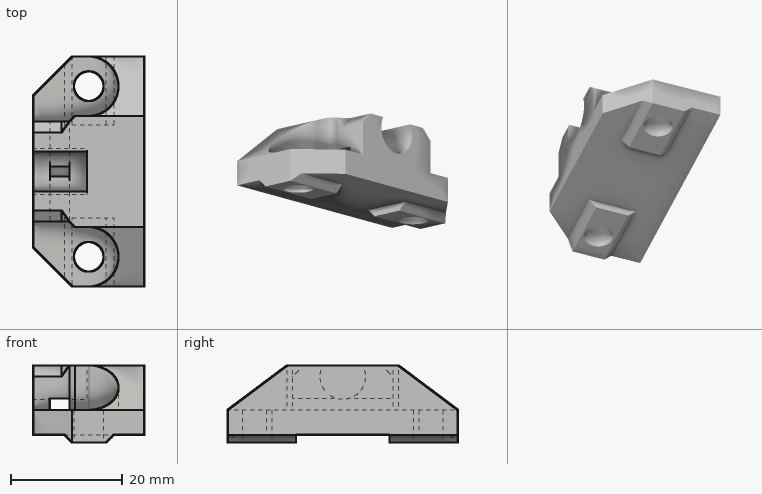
import cadquery as cq

LENGTH = 20.0
PLATE_THICKNESS = 4.5
CORNER_CUT = 7.0

HOLE_DIAMETER = 5.3
HOLE_X = LENGTH / 2
HOLE_Y = 15.35
POCKET_RADIUS = 5.35
HALF_WIDTH = HOLE_Y + POCKET_RADIUS

BLOCK_HEIGHT = 8.0
BLOCK_TOP = PLATE_THICKNESS + BLOCK_HEIGHT
BLOCK_HALF_WIDTH = HOLE_Y - POCKET_RADIUS
WALL_STEP = 1.0
FRONT_HALF_WIDTH = BLOCK_HALF_WIDTH - WALL_STEP

TIE_START = 3.0
TIE_END = 6.5
TIE_HEIGHT = 2.0

CHAMFER = 2.0
CHAMFER_LENGTH = 5.1

GROOVE_RADIUS = 4.1
GROOVE_AXIS_DEPTH = 2.0
GROOVE_LENGTH = 9.7

KEY_HEIGHT = 1.4
KEY_BOTTOM_WIDTH = 6.1
KEY_BOTTOM_START = CORNER_CUT
KEY_INNER_Y = 8.4


def corner_outline(plane_z):
    """Plan outline of the part with its two front corners cut off."""
    return cq.Workplane("XY", origin=(0, 0, plane_z)).polyline([
        (LENGTH, -HALF_WIDTH),
        (LENGTH, HALF_WIDTH),
        (CORNER_CUT, HALF_WIDTH),
        (0, HALF_WIDTH - CORNER_CUT),
        (0, CORNER_CUT - HALF_WIDTH),
        (CORNER_CUT, -HALF_WIDTH),
    ]).close()


def make_body():
    """Plate and block with side faces sloping down to the plate ends."""
    body = cq.Workplane("YZ").polyline([
        (-HALF_WIDTH, 0),
        (HALF_WIDTH, 0),
        (HALF_WIDTH, PLATE_THICKNESS),
        (BLOCK_HALF_WIDTH, BLOCK_TOP),
        (-BLOCK_HALF_WIDTH, BLOCK_TOP),
        (-HALF_WIDTH, PLATE_THICKNESS),
    ]).close().extrude(LENGTH)
    return body.intersect(corner_outline(0).extrude(BLOCK_TOP))


def make_screw_pocket():
    """Space above the plate at the +Y end, rounded around the screw hole."""
    return (
        cq.Workplane("XY", origin=(0, 0, PLATE_THICKNESS))
        .moveTo(0, FRONT_HALF_WIDTH)
        .lineTo(TIE_END, FRONT_HALF_WIDTH)
        .lineTo(TIE_END + WALL_STEP, BLOCK_HALF_WIDTH)
        .lineTo(HOLE_X, BLOCK_HALF_WIDTH)
        .threePointArc((HOLE_X + POCKET_RADIUS, HOLE_Y), (HOLE_X, HALF_WIDTH))
        .lineTo(0, HALF_WIDTH)
        .close()
        .extrude(BLOCK_HEIGHT)
    )


def make_polyhedron(faces):
    """Solid bounded by flat faces, each given as a list of corner points."""
    sides = []
    for corners in faces:
        sides.append(cq.Face.makeFromWires(cq.Wire.makePolygon(corners, close=True)))
    return cq.Solid.makeSolid(cq.Shell.makeShell(sides))


def make_edge_chamfer():
    """Material removed from the +Y front edge, ending in a slanted triangle."""
    inner_y = FRONT_HALF_WIDTH - CHAMFER
    low_z = BLOCK_TOP - CHAMFER
    front_inner = cq.Vector(0, inner_y, BLOCK_TOP)
    front_outer = cq.Vector(0, FRONT_HALF_WIDTH, BLOCK_TOP)
    front_low = cq.Vector(0, FRONT_HALF_WIDTH, low_z)
    back_inner = cq.Vector(CHAMFER_LENGTH, inner_y, BLOCK_TOP)
    back_low = cq.Vector(CHAMFER_LENGTH, FRONT_HALF_WIDTH, low_z)
    tip = cq.Vector(TIE_END, FRONT_HALF_WIDTH, BLOCK_TOP)
    return make_polyhedron([
        [front_inner, front_outer, front_low],
        [front_inner, front_low, back_low, back_inner],
        [front_inner, back_inner, tip, front_outer],
        [front_outer, tip, back_low, front_low],
        [back_inner, back_low, tip],
    ])


def make_screw_hole():
    """Through hole at the +Y end."""
    return (
        cq.Workplane("XY", origin=(HOLE_X, HOLE_Y, -KEY_HEIGHT))
        .circle(HOLE_DIAMETER / 2)
        .extrude(KEY_HEIGHT + BLOCK_TOP)
    )


def make_key():
    """Tapered key under the +Y end, trimmed by the cut plate corner."""
    bottom_end = KEY_BOTTOM_START + KEY_BOTTOM_WIDTH
    key = cq.Workplane("XZ", origin=(0, HALF_WIDTH, 0)).polyline([
        (KEY_BOTTOM_START - KEY_HEIGHT, 0),
        (KEY_BOTTOM_START, -KEY_HEIGHT),
        (bottom_end, -KEY_HEIGHT),
        (bottom_end + KEY_HEIGHT, 0),
    ]).close().extrude(HALF_WIDTH - KEY_INNER_Y)
    return key.intersect(corner_outline(-KEY_HEIGHT).extrude(KEY_HEIGHT))


def make_groove():
    """Round groove along X, open at the front and at the top."""
    return (
        cq.Workplane("YZ")
        .center(0, BLOCK_TOP - GROOVE_AXIS_DEPTH)
        .circle(GROOVE_RADIUS)
        .extrude(GROOVE_LENGTH)
    )


def make_tie_slot():
    """Rectangular slot across the block, level with the plate top."""
    return cq.Workplane("XY").box(
        TIE_END - TIE_START, 2 * BLOCK_HALF_WIDTH, TIE_HEIGHT, centered=(False, True, False)
    ).translate((TIE_START, 0, PLATE_THICKNESS))


def both_ends(feature):
    """The feature together with its mirror image at the -Y end."""
    shape = cq.Workplane("XY").add(feature)
    return [shape, shape.mirror("XZ")]


result = make_body()
for key in both_ends(make_key().val()):
    result = result.union(key)
for make_cut in (make_screw_pocket, make_screw_hole):
    for cutter in both_ends(make_cut().val()):
        result = result.cut(cutter)
for cutter in both_ends(make_edge_chamfer()):
    result = result.cut(cutter)
result = result.cut(make_groove()).cut(make_tie_slot())